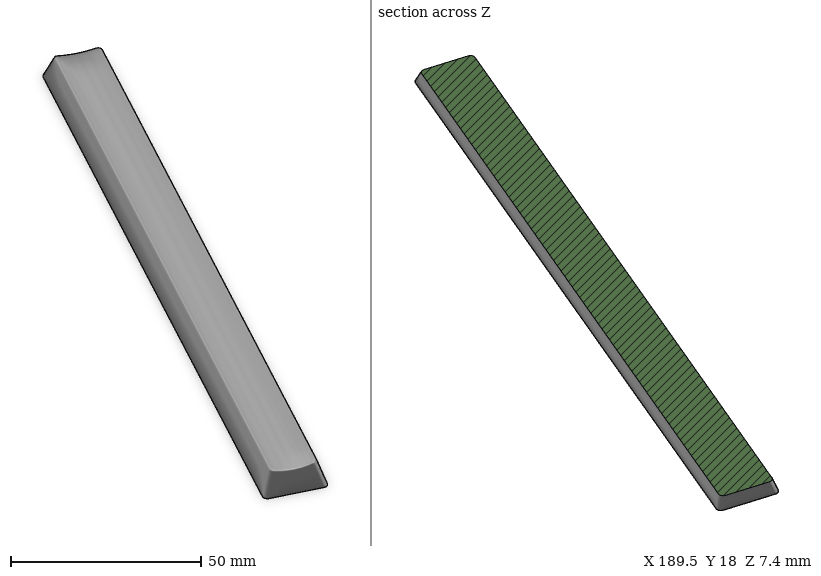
import cadquery as cq
import math

length = 189.5
width = 18.0
height = 7.4

wall_inset = 2.5
corner_radius = 1.5

dish_depth = 1.0

rim_radius = 0.5

half_chord = width / 2 - wall_inset
wall_slope = math.atan(height / wall_inset)
dish_slope = 2 * math.atan(dish_depth / half_chord)
slope_difference = wall_slope - dish_slope
slope_sum = wall_slope + dish_slope
rim_loss = rim_radius * (math.cos(slope_difference / 2) / math.cos(slope_sum / 2) - 1)
sharp_height = height + rim_loss


def tapered_body():
    """Bar with a flat base, four leaning walls and rounded upright corners."""
    taper_angle = math.degrees(math.atan(wall_inset / sharp_height))
    block = cq.Workplane("XY").rect(length, width).extrude(sharp_height, taper=taper_angle)
    corner_edges = "not (#Z or |X or |Y)"
    return block.edges(corner_edges).fillet(corner_radius)


def dish_cutter():
    """Segment of a long cylinder reaching from one long rim to the other."""
    return (
        cq.Workplane("YZ")
        .moveTo(-half_chord, sharp_height)
        .threePointArc((0, sharp_height - dish_depth), (half_chord, sharp_height))
        .close()
        .extrude(length / 2, both=True)
    )


def round_rim(body):
    """Round every edge where the trough meets the walls and corners."""
    trough_face = ">Z"
    return body.faces(trough_face).edges().fillet(rim_radius)


result = round_rim(tapered_body().cut(dish_cutter()))